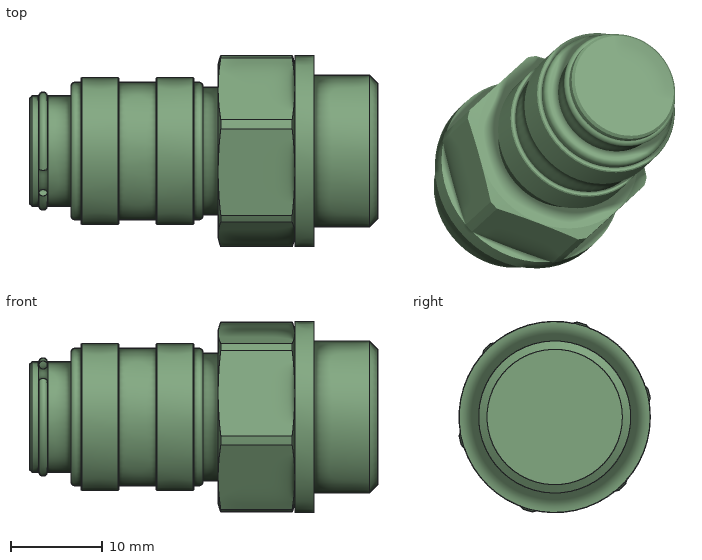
import cadquery as cq
import math

full_turn = 360
overall_length = 38.15

tip_dia = 12.15
tip_chamfer = 0.25
groove_dia = 11.15
groove_start = 0.95
groove_end = 2.0

sleeve_dia = 15.1
sleeve_start = 4.5
sleeve_end = 19.0
sleeve_fillet = 0.5
band_dia = 16.15
band_width = 4.15
band_chamfer = 0.1
band_starts = (5.6, 13.85)

neck_dia = 14.0

hex_sides = 6
hex_start = 20.65
hex_end = 29.07
hex_across_flats = 19.0
hex_corner_dia = 21.35
hex_face_dia = 18.92
hex_chamfer_length = 0.3
hex_turn = 14.0

flange_dia = 21.0
flange_end = 31.15
thread_dia = 16.67
thread_chamfer = 0.9

wire_dia = 0.9
ring_gap_start = 19.0
ring_gap_end = 49.3


def cylinder(start, end, dia):
    """Round section along X."""
    return cq.Workplane("YZ").workplane(offset=start).circle(dia / 2).extrude(end - start)


def make_tip():
    tip = cylinder(0, sleeve_start, tip_dia).faces("<X").chamfer(tip_chamfer)
    groove = cylinder(groove_start, groove_end, tip_dia).cut(
        cylinder(groove_start, groove_end, groove_dia)
    )
    return tip.cut(groove)


def make_sleeve():
    sleeve = cylinder(sleeve_start, sleeve_end, sleeve_dia).edges().fillet(sleeve_fillet)
    for start in band_starts:
        band = cylinder(start, start + band_width, band_dia)
        sleeve = sleeve.union(band.faces("<X or >X").chamfer(band_chamfer))
    return sleeve


def make_hexagon():
    corner_to_corner = hex_across_flats / math.cos(math.pi / hex_sides)
    prism = (
        cq.Workplane("YZ")
        .workplane(offset=hex_start)
        .polygon(hex_sides, corner_to_corner)
        .extrude(hex_end - hex_start)
        .rotate((0, 0, 0), (1, 0, 0), hex_turn)
    )
    envelope = (
        cq.Workplane("XY")
        .moveTo(hex_start, 0)
        .lineTo(hex_start, hex_face_dia / 2)
        .lineTo(hex_start + hex_chamfer_length, hex_corner_dia / 2)
        .lineTo(hex_end - hex_chamfer_length, hex_corner_dia / 2)
        .lineTo(hex_end, hex_face_dia / 2)
        .lineTo(hex_end, 0)
        .close()
        .revolve(full_turn, (0, 0, 0), (1, 0, 0))
    )
    return prism.intersect(envelope)


def make_housing():
    neck = cylinder(sleeve_end, hex_start, neck_dia)
    flange = cylinder(hex_end, flange_end, flange_dia)
    threaded_end = cylinder(flange_end, overall_length, thread_dia).faces(">X").chamfer(thread_chamfer)
    housing = make_tip()
    for section in (make_sleeve(), neck, make_hexagon(), flange, threaded_end):
        housing = housing.union(section)
    return housing


def make_snap_ring():
    ring_x = (groove_start + groove_end) / 2
    wire_centre_radius = (groove_dia + wire_dia) / 2
    ring_sweep = full_turn - (ring_gap_end - ring_gap_start)
    ring = (
        cq.Workplane("XZ")
        .center(ring_x, wire_centre_radius)
        .circle(wire_dia / 2)
        .revolve(ring_sweep, (0, -wire_centre_radius), (1, -wire_centre_radius))
    )
    return ring.rotate((0, 0, 0), (1, 0, 0), ring_gap_end)


housing = make_housing()
snap_ring = make_snap_ring()
result = cq.Compound.makeCompound([housing.val(), snap_ring.val()])